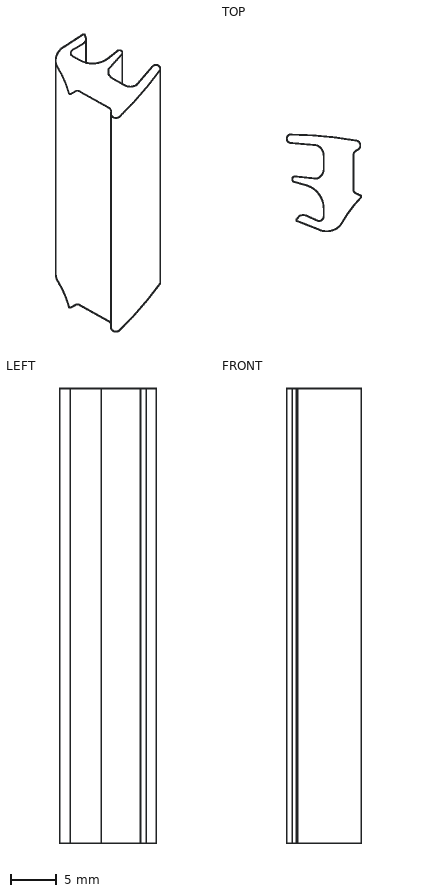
import cadquery as cq

length = 50.0
height = 10.65
web_left = 0.0
web_right = 3.3
lip_left = -4.05
tooth_right = 4.15
nose_right = 4.05

upper_slot_bottom = 6.85
upper_slot_top = 8.35
lower_slot_bottom = 1.65
lower_slot_top = 2.45
back_bottom = 4.6
back_top = 8.4


def upper_lip_and_nose(outline):
    """Bowed top face, rounded nose and the hollow leading down to the back."""
    return (
        outline
        .threePointArc((0.2, 10.45), (3.5, 10.0))
        .threePointArc((nose_right, 9.5), (3.65, 8.9))
        .threePointArc((3.4, 8.7), (web_right, back_top))
    )


def tooth_and_heel(outline):
    """Back face, pointed tooth, sloping flank and rounded heel."""
    return (
        outline
        .lineTo(web_right, back_bottom)
        .threePointArc((3.35, 4.35), (3.55, 4.2))
        .lineTo(4.05, 3.95)
        .threePointArc((tooth_right, 3.8), (4.1, 3.7))
        .threePointArc((3.1, 2.55), (2.05, 0.95))
        .threePointArc((1.25, 0.2), (0.25, 0.0))
        .threePointArc((-0.15, 0.05), (-0.55, 0.2))
    )


def lower_lip(outline):
    """Inclined lip with a blunt tip and a humped inner face."""
    return (
        outline
        .lineTo(-2.85, 1.1)
        .threePointArc((-3.0, 1.2), (-2.95, 1.35))
        .lineTo(-2.65, 1.7)
        .threePointArc((-2.2, 1.8), (-1.7, 1.65))
        .lineTo(-0.7, 1.2)
        .threePointArc((-0.2, 1.25), (web_left, lower_slot_bottom))
        .lineTo(web_left, lower_slot_top)
    )


def middle_lip(outline):
    """Curved roof of the lower slot, then the rounded middle lip."""
    return (
        outline
        .threePointArc((-0.6, 4.2), (-1.9, 5.05))
        .lineTo(-3.15, 5.4)
        .threePointArc((-3.45, 5.75), (-3.1, 6.05))
        .lineTo(-0.75, 5.8)
        .threePointArc((-0.2, 6.2), (web_left, upper_slot_bottom))
    )


def upper_slot_and_lip_tip(outline):
    """Inner face of the web, underside of the upper lip and its rounded tip."""
    return (
        outline
        .lineTo(web_left, upper_slot_top)
        .threePointArc((-0.2, 9.0), (-0.75, 9.45))
        .lineTo(-3.65, 9.7)
        .threePointArc((lip_left, 10.15), (-3.7, height))
    )


section = cq.Workplane("XY").moveTo(-3.7, height)
for add_feature in (
    upper_lip_and_nose,
    tooth_and_heel,
    lower_lip,
    middle_lip,
    upper_slot_and_lip_tip,
):
    section = add_feature(section)

result = section.close().extrude(length)